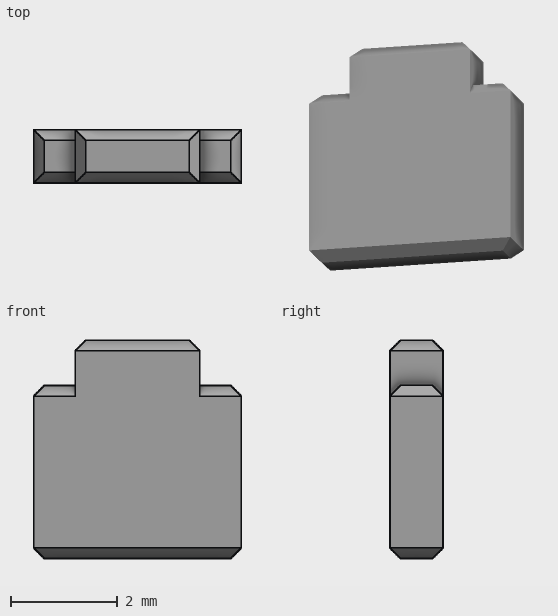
import cadquery as cq

body_width = 3.9
thickness = 1.0
total_height = 4.1
shoulder_height = 3.25
tongue_width = 0.6 * body_width
chamfer = 0.2


def block(width, bottom, top):
    """Full-thickness block centred on X and Y between two heights."""
    return (
        cq.Workplane("XY")
        .workplane(offset=bottom)
        .rect(width, thickness)
        .extrude(top - bottom)
    )


body = block(body_width, 0, shoulder_height).faces("<Z or >Z").chamfer(chamfer)

tongue_root = shoulder_height - chamfer
tongue = block(tongue_width, tongue_root, total_height).faces(">Z").chamfer(chamfer)

result = body.union(tongue).translate((0, 0, -total_height / 2))